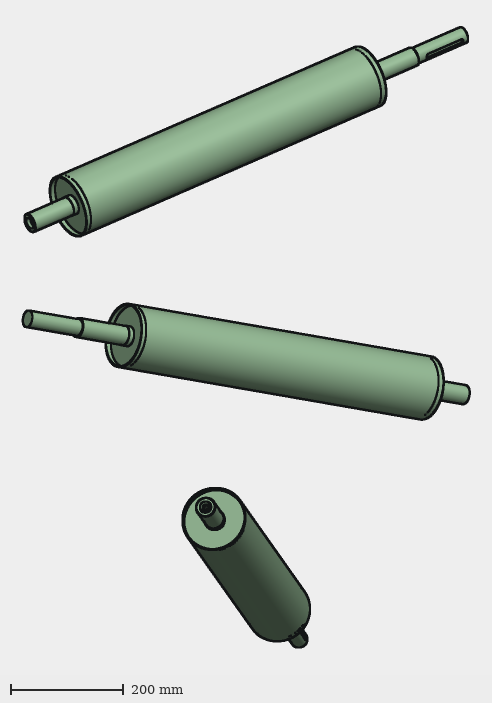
import cadquery as cq
import math

LENGTH = 943.0
FRONT_Y = -LENGTH / 2
BACK_Y = LENGTH / 2

BODY_DIAMETER = 114.0
FRONT_JOURNAL_LENGTH = 84.0
BODY_LENGTH = 652.0
RECESS_DIAMETER = 110.0
RECESS_DEPTH = 10.0
BODY_FRONT_Y = FRONT_Y + FRONT_JOURNAL_LENGTH
BODY_BACK_Y = BODY_FRONT_Y + BODY_LENGTH

COLLAR_DIAMETER = 36.0
JOURNAL_DIAMETER = 35.0
END_CHAMFER = 1.0
DRIVE_DIAMETER = 30.0
DRIVE_LENGTH = 108.0
DRIVE_START_Y = BACK_Y - DRIVE_LENGTH

COUNTERSINK_DIAMETER = 21.0
COUNTERSINK_ANGLE = 60.0
COUNTERBORE_DIAMETER = 13.0
COUNTERBORE_DEPTH = 9.0
DRILL_DIAMETER = 10.0
DRILL_DEPTH = 28.0

KEYWAY_WIDTH = 10.0
KEYWAY_LENGTH = 80.0
KEYWAY_DEPTH = 4.0
KEYWAY_END_GAP = 10.0


def cylinder(diameter, start_y, end_y):
    """Cylinder on the Y axis between two Y positions."""
    base = cq.Workplane("XZ", origin=(0, start_y, 0))
    return base.circle(diameter / 2).extrude(start_y - end_y)


def make_body():
    body = cylinder(BODY_DIAMETER, BODY_FRONT_Y, BODY_BACK_Y)
    front_recess = cylinder(RECESS_DIAMETER, BODY_FRONT_Y, BODY_FRONT_Y + RECESS_DEPTH)
    back_recess = cylinder(RECESS_DIAMETER, BODY_BACK_Y - RECESS_DEPTH, BODY_BACK_Y)
    return body.cut(front_recess).cut(back_recess)


def make_shaft():
    journal = cylinder(JOURNAL_DIAMETER, FRONT_Y, DRIVE_START_Y).faces("<Y").chamfer(END_CHAMFER)
    collar = cylinder(COLLAR_DIAMETER, BODY_FRONT_Y, BODY_BACK_Y)
    drive = cylinder(DRIVE_DIAMETER, DRIVE_START_Y, BACK_Y)
    return journal.union(collar).union(drive)


def make_centre_hole():
    cone_half_angle = math.radians(COUNTERSINK_ANGLE / 2)
    cone_depth = (COUNTERSINK_DIAMETER - COUNTERBORE_DIAMETER) / 2 / math.tan(cone_half_angle)
    cone = cq.Solid.makeCone(
        COUNTERSINK_DIAMETER / 2,
        COUNTERBORE_DIAMETER / 2,
        cone_depth,
        pnt=cq.Vector(0, FRONT_Y, 0),
        dir=cq.Vector(0, 1, 0),
    )
    counterbore = cylinder(COUNTERBORE_DIAMETER, FRONT_Y, FRONT_Y + COUNTERBORE_DEPTH)
    drill = cylinder(DRILL_DIAMETER, FRONT_Y, FRONT_Y + DRILL_DEPTH)
    return drill.union(counterbore).union(cq.Workplane(cone))


def make_keyway():
    floor_x = DRIVE_DIAMETER / 2 - KEYWAY_DEPTH
    centre_y = BACK_Y - KEYWAY_END_GAP - KEYWAY_LENGTH / 2
    floor = cq.Workplane("YZ", origin=(floor_x, centre_y, 0))
    return floor.slot2D(KEYWAY_LENGTH, KEYWAY_WIDTH).extrude(DRIVE_DIAMETER / 2)


result = make_body().union(make_shaft()).cut(make_centre_hole()).cut(make_keyway())